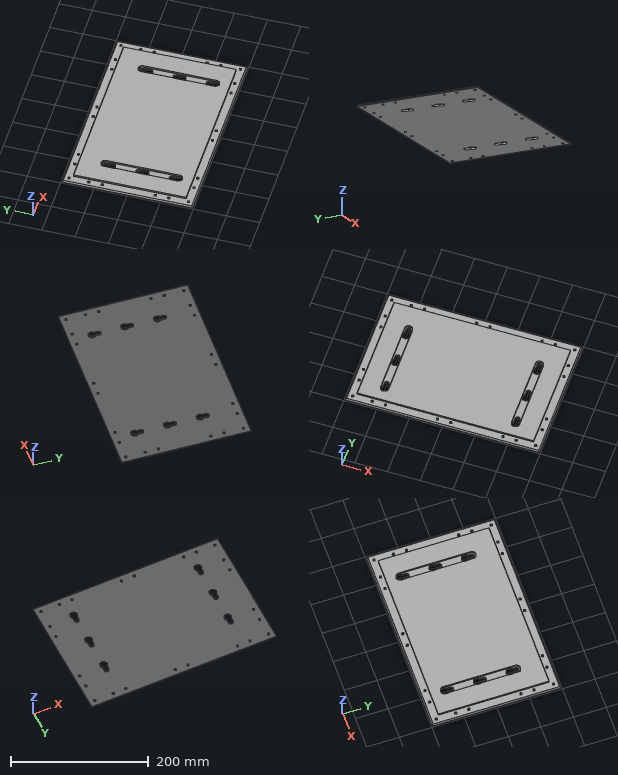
import cadquery as cq

plate_length = 297.5
plate_width = 197.5
plate_height = 3.0
edge_bevel = 2.0

panel_length = 270.0
panel_width = plate_width - (plate_length - panel_length)
total_height = 6.0

screw_hole_diameter = 3.3
screw_inset = 9.0
screw_row_x = plate_length / 2 - screw_inset
screw_row_y = plate_width / 2 - screw_inset
long_side_hole_offsets = [10.0, 90.0, 110.0]
short_side_hole_offsets = [40.0, 60.0]

slot_x = 100.0
slot_width = 12.0
slot_floor = plate_height
keyhole_count = 3
keyhole_pitch = 50.0
keyhole_head_diameter = 11.0
keyhole_neck_diameter = 7.0
keyhole_neck_travel = 10.0
top_neck_y = 46.7

neck_centres_y = [top_neck_y - i * keyhole_pitch for i in range(keyhole_count)]
lowest_head_y = neck_centres_y[-1] - keyhole_neck_travel


def round_ended_bar(x, upper_y, lower_y, width, z_bottom, z_top):
    """Bar along Y with rounded ends centred on upper_y and lower_y."""
    return (
        cq.Workplane("XY", origin=(x, (upper_y + lower_y) / 2, z_bottom))
        .slot2D(upper_y - lower_y + width, width, 90)
        .extrude(z_top - z_bottom)
    )


def keyhole_cutter(x, neck_y):
    """Round head with a narrower neck reaching up from it in +Y."""
    head_y = neck_y - keyhole_neck_travel
    neck = round_ended_bar(x, neck_y, head_y, keyhole_neck_diameter, 0, slot_floor)
    head = (
        cq.Workplane("XY", origin=(x, head_y, 0))
        .circle(keyhole_head_diameter / 2)
        .extrude(slot_floor)
    )
    return neck.union(head)


def hanging_slot_cutter(x):
    """Sunken slot together with the keyholes that pierce its floor."""
    cutter = round_ended_bar(
        x, top_neck_y, lowest_head_y, slot_width, slot_floor, total_height
    )
    for neck_y in neck_centres_y:
        cutter = cutter.union(keyhole_cutter(x, neck_y))
    return cutter


def screw_hole_centres():
    """Centres of all screw holes, mirrored from one quarter of the plate."""
    quarter = [(x, screw_row_y) for x in long_side_hole_offsets]
    quarter += [(screw_row_x, y) for y in short_side_hole_offsets]
    quarter.append((screw_row_x, screw_row_y))
    signs = [(1, 1), (-1, 1), (-1, -1), (1, -1)]
    return [(sx * x, sy * y) for x, y in quarter for sx, sy in signs]


base = (
    cq.Workplane("XY")
    .box(plate_length, plate_width, plate_height, centered=(True, True, False))
    .faces(">Z")
    .chamfer(edge_bevel)
)

panel = cq.Workplane("XY").box(
    panel_length, panel_width, total_height, centered=(True, True, False)
)

screw_holes = (
    cq.Workplane("XY")
    .pushPoints(screw_hole_centres())
    .circle(screw_hole_diameter / 2)
    .extrude(plate_height)
)

result = base.union(panel).cut(screw_holes)
for side in (-1, 1):
    result = result.cut(hanging_slot_cutter(side * slot_x))